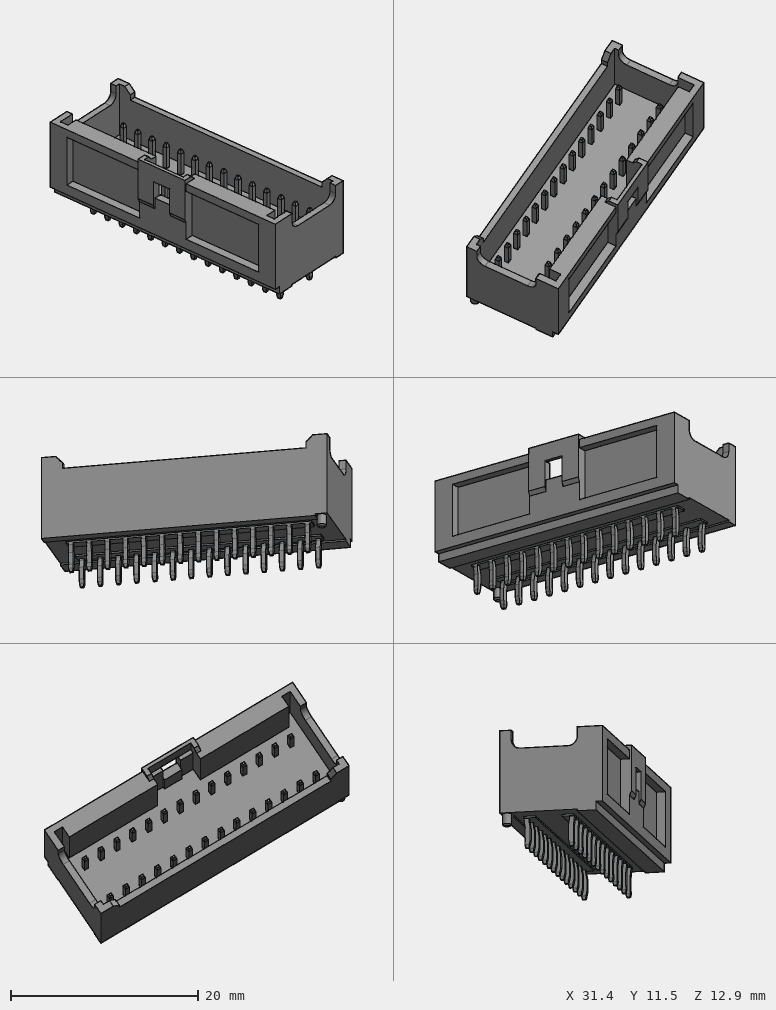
import cadquery as cq


length = 31.4
depth = 11.27
height = 9.2
underside_z = 0.2
end_wall = 0.8
back_wall = 0.75
front_wall = 2.1
floor_z = 2.73
corner_slot_width = 1.05
corner_slot_y = 0.75
cavity_half = length / 2 - end_wall
cavity_back_y = depth - back_wall

dip_front_y = 2.75
dip_back_y = 10.02
dip_depth = 2.0
dip_radius = 1.0

back_drop = 1.4
back_half_top = 14.13
back_ramp_run = 0.75
back_ramp_drop = 0.75

pocket_outer_x = 13.38
pocket_bottom_z = 2.17
pocket_top_z = 8.23
pocket_depth = 1.0
step_depth = 0.7
step_height = 0.95
rail_back_y = dip_front_y

latch_width = 6.53
latch_top_z = 9.73
latch_proud = 0.22
latch_bottom_z = 4.25
latch_slant_z = 4.75
ear_back_y = 1.35
ear_flat_y = 0.88
key_width = 5.4
latch_inner_y = 0.2
ledge_back_y = 0.65
ledge_drop = 0.03
window_width = 2.2
window_top_z = 7.75
ledge_back_z = window_top_z
sill_z = 5.6
sill_back_y = 0.95
sill_drop = 0.03

pin_count = 14
row_length = 26.0
pin_pitch = row_length / (pin_count - 1)
pin_size = 0.5
pin_top_z = 5.75
pin_bottom_z = -3.2
tip_size = 0.25
tip_height = 0.38
row_front_y = 3.92
row_spacing = 5.0
tail_bend_z = -0.2
tail_belly_top_z = -1.05
tail_belly_bottom_z = -2.35
tail_tip_z = -2.83
tail_belly_outer = 0.4
tail_belly_inner = 0.15
tail_tip_shift = 0.05
tail_tip_size = 0.35

strip_width = 1.3
strip_overhang = 0.25

peg_diameter = 1.0
peg_side_inset = 0.72
peg_back_inset = 0.63
back_rail_width = 1.22
back_rail_start = 1.32
peg_bottom_z = -1.13
peg_chamfer = 0.2


def block(x0, x1, y0, y1, z0, z1):
    """Box between opposite corners."""
    return cq.Workplane("XY").box(x1 - x0, y1 - y0, z1 - z0, centered=False).translate((x0, y0, z0))


def centred_block(width, y0, y1, z0, z1):
    """Box centred on x = 0."""
    return block(-width / 2, width / 2, y0, y1, z0, z1)


def side_prism(points, width):
    """Prism with a (y, z) outline, centred on x = 0."""
    return cq.Workplane("YZ").polyline(points).close().extrude(width / 2, both=True)


def make_shell():
    """Outer body with its bottom rail and open cavity."""
    body = side_prism(
        [
            (0, step_height),
            (step_depth, step_height),
            (step_depth, 0),
            (rail_back_y, 0),
            (rail_back_y, underside_z),
            (depth, underside_z),
            (depth, height),
            (0, height),
        ],
        length,
    )
    body = body.cut(centred_block(2 * cavity_half, front_wall, cavity_back_y, floor_z, height))
    for side in (-1, 1):
        outer = side * cavity_half
        inner = side * (cavity_half - corner_slot_width)
        x0, x1 = sorted((outer, inner))
        body = body.cut(block(x0, x1, corner_slot_y, front_wall, floor_z, height))
    return body


def end_wall_dip():
    """Rounded cutter that lowers both end walls."""
    bottom_z = height - dip_depth
    dip = centred_block(length, dip_front_y, dip_back_y, bottom_z, height)
    return dip.edges("|X and <Z").fillet(dip_radius)


def back_wall_dip():
    """Cutter that lowers the back wall between its two corner posts."""
    low_z = height - back_drop
    ramp_z = height - back_ramp_drop
    half_low = back_half_top - back_ramp_run
    outline = [
        (-back_half_top, height),
        (-half_low, ramp_z),
        (-half_low, low_z),
        (half_low, low_z),
        (half_low, ramp_z),
        (back_half_top, height),
    ]
    cutter = cq.Workplane("XZ").polyline(outline).close().extrude(-back_wall)
    return cutter.translate((0, cavity_back_y, 0))


def front_pockets():
    """Two shallow pockets, one on each side of the latch."""
    left = block(-pocket_outer_x, -latch_width / 2, 0, pocket_depth, pocket_bottom_z, pocket_top_z)
    return left.union(left.mirror("YZ"))


def latch_plate():
    """Raised plate with a slanted lower edge and ramped ears on top of the front wall."""
    return side_prism(
        [
            (0, latch_bottom_z),
            (-latch_proud, latch_slant_z),
            (-latch_proud, latch_top_z),
            (ear_flat_y, latch_top_z),
            (ear_back_y, height),
            (0, height),
        ],
        latch_width,
    )


def key_slot():
    """Cutter for the polarising slot behind the latch, with a sloping ledge and a sill block."""
    slot = side_prism(
        [
            (latch_inner_y, ledge_back_z - ledge_drop),
            (ledge_back_y, ledge_back_z),
            (ledge_back_y, floor_z),
            (front_wall, floor_z),
            (front_wall, latch_top_z),
            (latch_inner_y, latch_top_z),
        ],
        key_width,
    )
    sill_block = side_prism(
        [(0, floor_z), (0, sill_z), (sill_back_y, sill_z - sill_drop), (sill_back_y, floor_z)],
        window_width,
    )
    return slot.cut(sill_block)


def latch_window():
    """Cutter for the window through the latch and the gap between its legs."""
    window = side_prism(
        [
            (-latch_proud, sill_z),
            (0, sill_z),
            (sill_back_y, sill_z - sill_drop),
            (sill_back_y, window_top_z),
            (-latch_proud, window_top_z),
        ],
        window_width,
    )
    return window.union(centred_block(window_width, -latch_proud, 0, latch_bottom_z, sill_z))


def frustum(size0, z0, size1, z1):
    """Square frustum between two heights."""
    return (
        cq.Workplane("XY")
        .workplane(offset=z0)
        .rect(size0, size0)
        .workplane(offset=z1 - z0)
        .rect(size1, size1)
        .loft(ruled=True)
    )


def make_pin():
    """One pin at the origin, its tail bulging towards -Y."""
    half = pin_size / 2
    tail = side_prism(
        [
            (half, floor_z),
            (half, tail_bend_z),
            (tail_belly_inner, tail_belly_top_z),
            (tail_belly_inner, tail_belly_bottom_z),
            (half - tail_tip_shift, tail_tip_z),
            (-half - tail_tip_shift, tail_tip_z),
            (-tail_belly_outer, tail_belly_bottom_z),
            (-tail_belly_outer, tail_belly_top_z),
            (-half, tail_bend_z),
            (-half, floor_z),
        ],
        pin_size,
    )
    tail_tip = frustum(pin_size, tail_tip_z, tail_tip_size, pin_bottom_z).translate((0, -tail_tip_shift, 0))
    shaft_top_z = pin_top_z - tip_height
    shaft = centred_block(pin_size, -half, half, floor_z, shaft_top_z)
    top_tip = frustum(pin_size, shaft_top_z, tip_size, pin_top_z)
    return tail.union(tail_tip).union(shaft).union(top_tip)


def add_pins(body):
    """Both pin rows with their standoff strips; the tails bulge towards each other."""
    row_back_y = row_front_y + row_spacing
    back_pin = make_pin()
    front_pin = back_pin.mirror("XZ")
    strip_length = row_length + pin_size + 2 * strip_overhang
    strip = centred_block(strip_length, pin_size / 2 - strip_width, pin_size / 2, 0, underside_z)
    for pin, pad, row_y in ((front_pin, strip.mirror("XZ"), row_front_y), (back_pin, strip, row_back_y)):
        body = body.union(pad.translate((0, row_y, 0)))
        for i in range(pin_count):
            body = body.union(pin.translate((i * pin_pitch - row_length / 2, row_y, 0)))
    return body


def make_peg():
    """Locating peg with a chamfered end, under the back left corner."""
    peg = cq.Workplane("XY").circle(peg_diameter / 2).extrude(underside_z - peg_bottom_z)
    peg = peg.faces("<Z").chamfer(peg_chamfer)
    return peg.translate((peg_side_inset - length / 2, depth - peg_back_inset, peg_bottom_z))


def back_rail():
    """Standoff rail under the back edge, from just beside the peg to the right end."""
    return block(back_rail_start - length / 2, length / 2, depth - back_rail_width, depth, 0, underside_z)


housing = make_shell().cut(end_wall_dip()).cut(back_wall_dip()).cut(front_pockets())
housing = housing.union(latch_plate()).cut(key_slot()).cut(latch_window())
housing = housing.union(make_peg()).union(back_rail())
result = add_pins(housing)